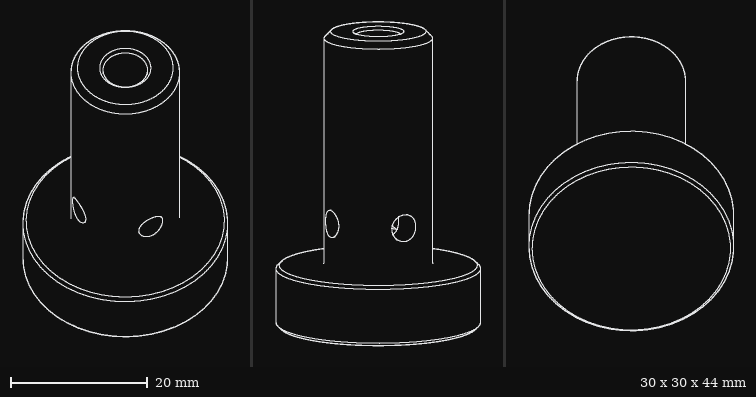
import cadquery as cq
import math

TOTAL_HEIGHT = 44.0
HEAD_DIAMETER = 30.0
HEAD_HEIGHT = 9.0
HEAD_CHAMFER = 0.5
SHANK_DIAMETER = 15.95
SHANK_CHAMFER_WIDTH = 0.95
SHANK_CHAMFER_HEIGHT = 1.0
ROOT_FILLET = 0.4
BORE_DIAMETER = 6.5
BORE_MOUTH_DIAMETER = 7.5
BORE_BOTTOM_Z = 14.0
DRILL_POINT_ANGLE = 140.0
CROSS_HOLE_DIAMETER = 4.0
CROSS_HOLE_Z = 16.0


def make_body():
    """Revolve the head and shank, including their chamfers and the root fillet."""
    head_radius = HEAD_DIAMETER / 2
    shank_radius = SHANK_DIAMETER / 2
    arc_offset = ROOT_FILLET * (1 - math.sqrt(0.5))
    return (
        cq.Workplane("XZ")
        .lineTo(head_radius - HEAD_CHAMFER, 0)
        .lineTo(head_radius, HEAD_CHAMFER)
        .lineTo(head_radius, HEAD_HEIGHT - HEAD_CHAMFER)
        .lineTo(head_radius - HEAD_CHAMFER, HEAD_HEIGHT)
        .lineTo(shank_radius + ROOT_FILLET, HEAD_HEIGHT)
        .threePointArc(
            (shank_radius + arc_offset, HEAD_HEIGHT + arc_offset),
            (shank_radius, HEAD_HEIGHT + ROOT_FILLET),
        )
        .lineTo(shank_radius, TOTAL_HEIGHT - SHANK_CHAMFER_HEIGHT)
        .lineTo(shank_radius - SHANK_CHAMFER_WIDTH, TOTAL_HEIGHT)
        .lineTo(0, TOTAL_HEIGHT)
        .close()
        .revolve(360, (0, 0, 0), (0, 1, 0))
    )


def make_bore():
    """Blind bore with a 45-degree countersunk mouth and a conical drill point."""
    radius = BORE_DIAMETER / 2
    mouth_radius = BORE_MOUTH_DIAMETER / 2
    point_depth = radius / math.tan(math.radians(DRILL_POINT_ANGLE / 2))
    return (
        cq.Workplane("XZ")
        .moveTo(0, BORE_BOTTOM_Z - point_depth)
        .lineTo(radius, BORE_BOTTOM_Z)
        .lineTo(radius, TOTAL_HEIGHT - (mouth_radius - radius))
        .lineTo(mouth_radius, TOTAL_HEIGHT)
        .lineTo(0, TOTAL_HEIGHT)
        .close()
        .revolve(360, (0, 0, 0), (0, 1, 0))
    )


def make_cross_hole(plane):
    """Hole straight through the shank, normal to the given plane."""
    return (
        cq.Workplane(plane, origin=(0, 0, CROSS_HOLE_Z))
        .circle(CROSS_HOLE_DIAMETER / 2)
        .extrude(SHANK_DIAMETER, both=True)
    )


result = make_body().cut(make_bore())
for hole_plane in ("XZ", "YZ"):
    result = result.cut(make_cross_hole(hole_plane))